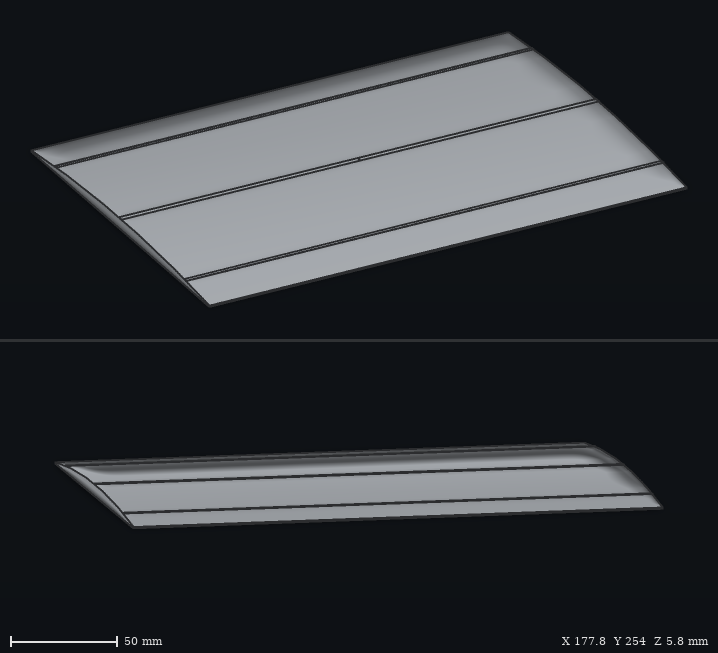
import cadquery as cq

length = 254.0
width = 177.8
overall_height = 5.8
strip_height = 0.1

edge_thickness = 0.8
crest_thickness = overall_height - strip_height

center_strip_width = 2.8
side_strip_width = 2.0
side_strip_offset = 64.8

dome_rise = crest_thickness - edge_thickness
dome_radius = ((width / 2) ** 2 + dome_rise ** 2) / (2 * dome_rise)
dome_center_z = crest_thickness - dome_radius


def dome_height(x):
    """Height of the plate's upper face at a distance x from its center line."""
    return dome_center_z + (dome_radius ** 2 - x ** 2) ** 0.5


def extrude_along_y(profile, y_start, y_end):
    """Extrude a closed XZ profile between two Y positions."""
    return profile.extrude(y_start - y_end).translate((0, y_start, 0))


def make_plate():
    """Flat-bottomed plate with an arched upper face."""
    profile = (
        cq.Workplane("XZ")
        .moveTo(-width / 2, 0)
        .lineTo(width / 2, 0)
        .lineTo(width / 2, edge_thickness)
        .threePointArc((0, crest_thickness), (-width / 2, edge_thickness))
        .close()
    )
    return extrude_along_y(profile, -length / 2, length / 2)


def make_strip(x_center, strip_width, y_start, y_end):
    """Flat-topped strip whose underside follows the arched plate."""
    left = x_center - strip_width / 2
    right = x_center + strip_width / 2
    top = dome_height(x_center) + strip_height
    profile = (
        cq.Workplane("XZ")
        .moveTo(left, dome_height(left))
        .threePointArc((x_center, dome_height(x_center)), (right, dome_height(right)))
        .lineTo(right, top)
        .lineTo(left, top)
        .close()
    )
    return extrude_along_y(profile, y_start, y_end)


plate = make_plate()

side_strips = [
    make_strip(side * side_strip_offset, side_strip_width, -length / 2, length / 2)
    for side in (-1, 1)
]

center_strips = [
    make_strip(0, center_strip_width, y_start, y_start + length / 2)
    for y_start in (-length / 2, 0)
]

strips = side_strips + center_strips
result = cq.Compound.makeCompound([plate.val(), *[strip.val() for strip in strips]])